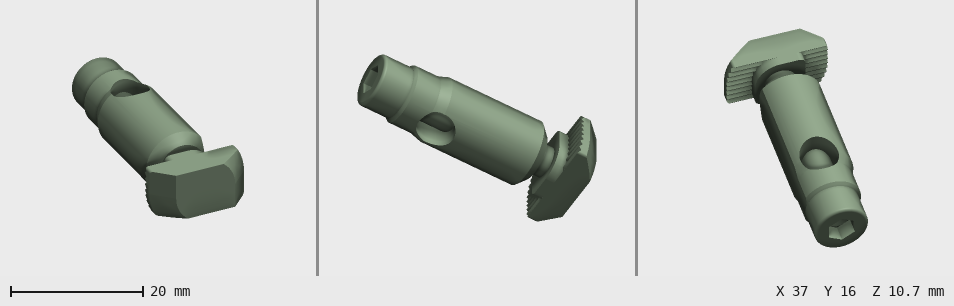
import cadquery as cq
import math


cap_diameter = 8.5
cap_length = 5.0
cap_edge_radius = 0.48
socket_width = 4.1
socket_depth = 2.5
drill_point_angle = 120.0

collar_diameter = 9.5
barrel_diameter = 10.7
collar_chamfer = (collar_diameter - cap_diameter) / 2
taper_start_x = 9.5
barrel_start_x = 11.25
sleeve_end_x = 29.0
sleeve_end_chamfer = 1.5
flat_y = 4.0
cross_hole_diameter = 6.0
cross_hole_x = 11.5

shank_diameter = 5.0
boss_start_x = 31.0
head_height = 8.0
boss_width = head_height
boss_corner_radius = 1.0
head_width = 2 * head_height
head_end_x = 37.0
head_corner_radius = 0.48
head_back_chamfer = 3.0
tooth_tip_x = 32.5
tooth_count = 8
tooth_pitch = head_height / tooth_count
tooth_tip_flat = 0.1
tooth_depth = (tooth_pitch - tooth_tip_flat) / 2
tooth_root_x = tooth_tip_x + tooth_depth


def cylinder_x(diameter, start_x, end_x):
    """Cylinder on the X axis between two X positions."""
    return cq.Workplane("YZ", origin=(start_x, 0, 0)).circle(diameter / 2).extrude(end_x - start_x)


def make_cap():
    cap = cylinder_x(cap_diameter, 0, cap_length).faces("<X").edges().fillet(cap_edge_radius)
    socket_corner_diameter = socket_width / math.cos(math.pi / 6)
    socket = (
        cq.Workplane("YZ")
        .transformed(rotate=(0, 0, 90))
        .polygon(6, socket_corner_diameter)
        .extrude(socket_depth)
    )
    cone_radius = socket_width / 2
    cone_length = cone_radius / math.tan(math.radians(drill_point_angle / 2))
    cone = cq.Workplane(
        cq.Solid.makeCone(cone_radius, 0, cone_length, cq.Vector(socket_depth, 0, 0), cq.Vector(1, 0, 0))
    )
    return cap.cut(socket).cut(cone)


def make_sleeve():
    barrel_radius = barrel_diameter / 2
    collar_radius = collar_diameter / 2
    turned_body = (
        cq.Workplane("XY")
        .moveTo(cap_length, 0)
        .lineTo(cap_length, collar_radius - collar_chamfer)
        .lineTo(cap_length + collar_chamfer, collar_radius)
        .lineTo(taper_start_x, collar_radius)
        .lineTo(barrel_start_x, barrel_radius)
        .lineTo(sleeve_end_x - sleeve_end_chamfer, barrel_radius)
        .lineTo(sleeve_end_x, barrel_radius - sleeve_end_chamfer)
        .lineTo(sleeve_end_x, 0)
        .close()
        .revolve(360, (0, 0, 0), (1, 0, 0))
    )
    beyond_flat = cq.Workplane("XY", origin=(0, flat_y, 0)).box(
        sleeve_end_x, barrel_diameter, barrel_diameter, centered=(False, False, True)
    )
    bore = cylinder_x(shank_diameter, cap_length, sleeve_end_x)
    cross_hole = (
        cq.Workplane("XY", origin=(cross_hole_x, 0, 0))
        .circle(cross_hole_diameter / 2)
        .extrude(barrel_radius, both=True)
    )
    return turned_body.cut(beyond_flat).cut(bore).cut(cross_hole)


def turning_block(half_profile):
    """Block as high as the head, made from its outline in the XY plane on the +Y side of the X axis.

    It can turn one way in a slot: the +Y+Z and -Y-Z quarters are round about the X axis
    and the other two are square.
    """
    turned = cq.Workplane("XY").polyline(half_profile).close().revolve(360, (0, 0, 0), (1, 0, 0))
    height_limit = cq.Workplane("XY").box(2 * head_end_x, 2 * head_width, head_height)
    round_block = turned.intersect(height_limit)
    square_quarter = cq.Workplane("XY").polyline(half_profile).close().extrude(-head_height / 2)
    opposite_quarter = square_quarter.rotate((0, 0, 0), (1, 0, 0), 180)
    return round_block.union(square_quarter).union(opposite_quarter)


def straight_profile(width, start_x, end_x):
    """Half outline of a block without a back chamfer."""
    return [(start_x, 0), (start_x, width / 2), (end_x, width / 2), (end_x, 0)]


def make_boss():
    boss = turning_block(straight_profile(boss_width, boss_start_x, tooth_root_x))
    square_corners = boss.edges("|X").edges("(>Z and <Y) or (<Z and >Y)")
    return square_corners.fillet(boss_corner_radius)


def cut_teeth(head):
    """Cut 90 degree V grooves along Y into the front face of the head."""
    for index in range(tooth_count):
        groove_z = (index + 0.5) * tooth_pitch - head_height / 2
        groove = (
            cq.Workplane("XZ", origin=(tooth_tip_x, 0, groove_z))
            .moveTo(0, -tooth_depth)
            .lineTo(tooth_depth, 0)
            .lineTo(0, tooth_depth)
            .close()
            .extrude(head_width / 2, both=True)
        )
        head = head.cut(groove)
    return head


def make_head():
    """Hammer head with rounded long edges, a back chamfer and a toothed front."""
    half_width = head_width / 2
    straight_head = turning_block(straight_profile(head_width, tooth_tip_x, head_end_x))
    rounded_head = straight_head.edges("|X").edges(">Z or <Z").fillet(head_corner_radius)
    chamfered_profile = [
        (tooth_tip_x, 0),
        (tooth_tip_x, half_width),
        (head_end_x - head_back_chamfer, half_width),
        (head_end_x, half_width - head_back_chamfer),
        (head_end_x, 0),
    ]
    return cut_teeth(rounded_head.intersect(turning_block(chamfered_profile)))


def make_t_bolt():
    shank = cylinder_x(shank_diameter, cap_length, boss_start_x)
    return shank.union(make_boss()).union(make_head())


cap = make_cap()
sleeve = make_sleeve()
t_bolt = make_t_bolt()

result = cq.Compound.makeCompound([body.solids().val() for body in (cap, sleeve, t_bolt)])